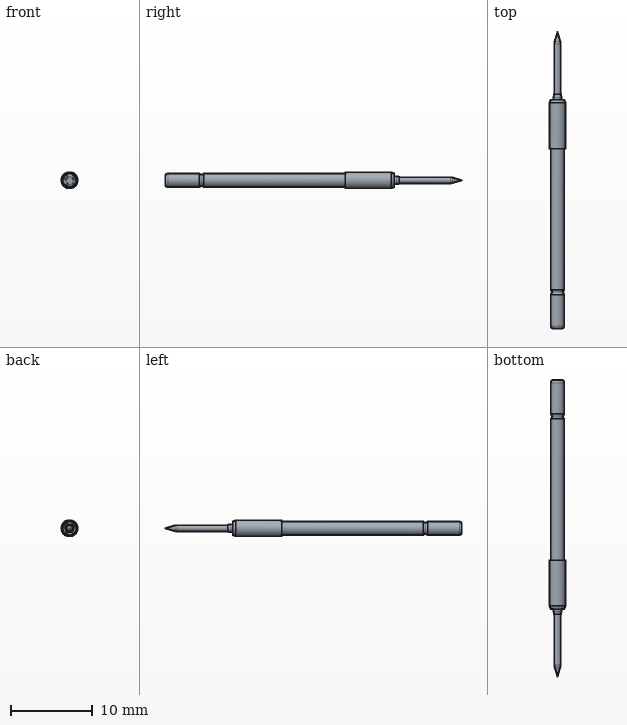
import cadquery as cq
import math

total_length = 36.3

collar_radius = 2.0 / 2
barrel_radius = 0.85
shoulder_radius = 0.5
needle_radius = 0.4

rear_rounding = 0.35
groove_rear = 4.17
groove_rise = 0.33
groove_drop = 0.25
groove_depth = 0.15
rise_hollow = 0.02
drop_hollow = 0.045

collar_rear = 22.05
collar_front = 28.02
collar_chamfer = 0.4
shoulder_front = 28.65
shoulder_taper = 0.35
shoulder_step = 0.05

cone_length = 1.3
cone_blend = 0.15


def rear_end(profile):
    """Flat end face with a rounded rim."""
    face_radius = barrel_radius - rear_rounding
    reach = rear_rounding * math.sqrt(0.5)
    rim_middle = (face_radius + reach, rear_rounding - reach)
    return profile.lineTo(face_radius, 0).threePointArc(rim_middle, (barrel_radius, rear_rounding))


def groove(profile):
    """Retaining groove with two hollow flanks that meet in an edge at the bottom."""
    bottom = (barrel_radius - groove_depth, groove_rear + groove_rise)
    front = (barrel_radius, bottom[1] + groove_drop)
    return (
        profile.lineTo(barrel_radius, groove_rear)
        .sagittaArc(bottom, rise_hollow)
        .sagittaArc(front, drop_hollow)
    )


def collar(profile):
    """Larger collar with a square rear step and a chamfered front."""
    return (
        profile.lineTo(barrel_radius, collar_rear)
        .lineTo(collar_radius, collar_rear)
        .lineTo(collar_radius, collar_front - collar_chamfer)
        .lineTo(barrel_radius, collar_front)
    )


def needle(profile):
    """Tapered shoulder, slim needle and a cone blended into it."""
    half_angle = math.atan(needle_radius / cone_length)
    corner = total_length - cone_length
    blend_front = (
        needle_radius - cone_blend * math.sin(half_angle),
        corner + cone_blend * math.cos(half_angle),
    )
    return (
        profile.lineTo(shoulder_radius, collar_front)
        .lineTo(shoulder_radius, shoulder_front - shoulder_taper)
        .lineTo(needle_radius + shoulder_step, shoulder_front)
        .lineTo(needle_radius, shoulder_front)
        .lineTo(needle_radius, corner - cone_blend)
        .tangentArcPoint(blend_front, relative=False)
        .lineTo(0, total_length)
    )


half_section = needle(collar(groove(rear_end(cq.Workplane("XY"))))).close()
result = half_section.revolve(360, (0, 0, 0), (0, 1, 0))